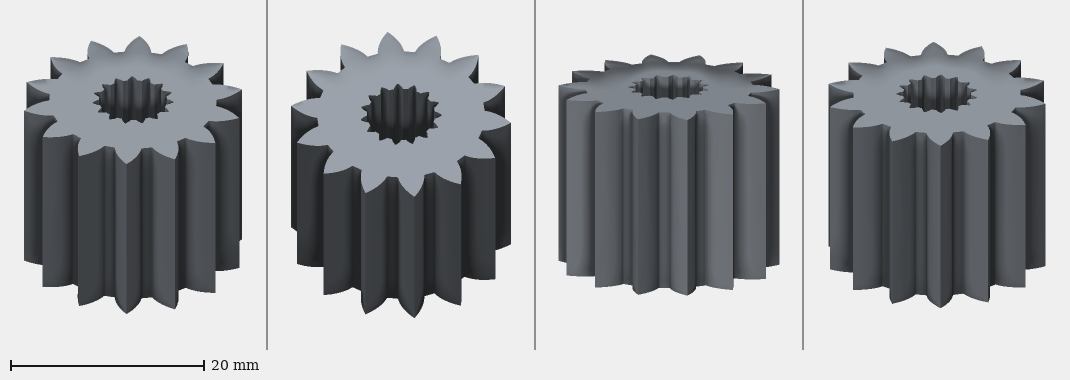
import cadquery as cq
import math

face_width = 19.05

tooth_count = 14
tip_radius = 11.45
root_radius = 8.65
pitch_radius = 8.89
pressure_angle = math.radians(14.5)
base_radius = pitch_radius * math.cos(pressure_angle)
first_tooth_angle = 90.0
root_fillet = 0.18
flank_points = 8

groove_count = 15
bore_radius = 3.53
groove_depth = 0.69
groove_mouth_half_width = 0.48
groove_middle_half_width = 0.37
groove_middle_depth = 0.25
groove_shoulder_half_width = 0.15
groove_shoulder_depth = 0.53


def rotated(point, degrees):
    """Turn a plane point about the part axis."""
    turn = math.radians(degrees)
    x, y = point
    return (
        x * math.cos(turn) - y * math.sin(turn),
        x * math.sin(turn) + y * math.cos(turn),
    )


def involute(radius):
    """Involute function of the pressure angle found at a radius."""
    angle = math.acos(base_radius / radius)
    return math.tan(angle) - angle


def half_tooth_angle(radius):
    """Half the angular tooth thickness, in degrees; it is zero at the pointed tip."""
    return math.degrees(involute(tip_radius) - involute(radius))


def flank(centre_angle, side):
    """Points from root to tip along one flank; side is -1 before the tooth centre, +1 after it."""
    points = []
    for i in range(flank_points):
        radius = root_radius + (tip_radius - root_radius) * i / (flank_points - 1)
        angle = centre_angle + side * half_tooth_angle(radius)
        points.append(rotated((radius, 0), angle))
    return points


def gear_body():
    pitch = 360 / tooth_count
    sketch = cq.Workplane("XY").moveTo(*flank(first_tooth_angle, -1)[0])
    for i in range(tooth_count):
        centre = first_tooth_angle + i * pitch
        rising = flank(centre, -1)
        falling = flank(centre, 1)[::-1]
        gap_middle = rotated((root_radius, 0), centre + pitch / 2)
        sketch = sketch.spline(rising[1:], includeCurrent=True)
        sketch = sketch.spline(falling[1:], includeCurrent=True)
        sketch = sketch.threePointArc(gap_middle, flank(centre + pitch, -1)[0])
    body = sketch.close().extrude(face_width)

    mid_radius = (root_radius + tip_radius) / 2
    root_corners = body.edges("|Z").filter(
        lambda edge: math.hypot(edge.Center().x, edge.Center().y) < mid_radius
    )
    return root_corners.fillet(root_fillet)


def splined_bore():
    pitch = 360 / groove_count
    mouth_x = math.sqrt(bore_radius**2 - groove_mouth_half_width**2)
    middle_x = bore_radius + groove_middle_depth
    shoulder_x = bore_radius + groove_shoulder_depth
    bottom_x = bore_radius + groove_depth

    sketch = cq.Workplane("XY").moveTo(mouth_x, -groove_mouth_half_width)
    for i in range(groove_count):
        angle = i * pitch
        next_angle = angle + pitch
        sketch = sketch.threePointArc(
            rotated((middle_x, -groove_middle_half_width), angle),
            rotated((shoulder_x, -groove_shoulder_half_width), angle),
        )
        sketch = sketch.threePointArc(
            rotated((bottom_x, 0), angle),
            rotated((shoulder_x, groove_shoulder_half_width), angle),
        )
        sketch = sketch.threePointArc(
            rotated((middle_x, groove_middle_half_width), angle),
            rotated((mouth_x, groove_mouth_half_width), angle),
        )
        sketch = sketch.threePointArc(
            rotated((bore_radius, 0), angle + pitch / 2),
            rotated((mouth_x, -groove_mouth_half_width), next_angle),
        )
    return sketch.close().extrude(face_width)


result = gear_body().cut(splined_bore())